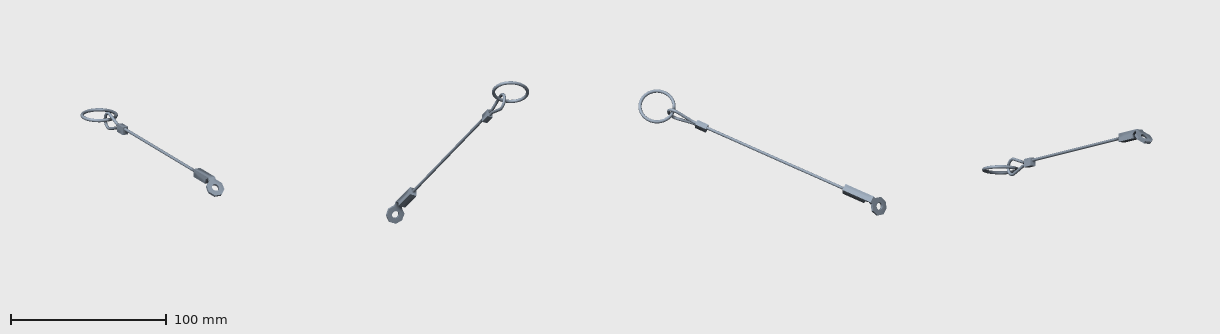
import cadquery as cq
import math

total_length = 175.4

ring_diameter = 24.0
ring_wire = 2.1

cable_diameter = 2.0
cable_height = 1.0
loop_diameter = 12.0
loop_center_x = 25.3
neck_start_x = 37.4
neck_bend_reach = 0.9

sleeve_start_x = 40.2
sleeve_length = 7.7
sleeve_width = 3.7
sleeve_height = 5.3

tag_start_x = 146.0
tag_width = 4.7
tag_top = 3.7
tag_height = 5.5
block_end_x = 161.5
step_height = 2.6
relief_end_x = 164.5
relief_end_drop = 0.9
bend_x = 166.0
bend_angle = 45.0
tab_thickness = 1.8
octagon_sides = 8
octagon_width = 11.2
eye_diameter = 4.7


def make_ring():
    """Closed round-wire ring lying flat."""
    wire_radius = ring_wire / 2
    center_x = ring_diameter / 2
    return cq.Workplane(
        cq.Solid.makeTorus(center_x - wire_radius, wire_radius, cq.Vector(center_x, 0, 0))
    )


def make_cable():
    """Cable that returns through a teardrop loop into its crimp sleeve."""
    bend_radius = (loop_diameter - cable_diameter) / 2
    neck_reach = neck_start_x - loop_center_x
    neck_distance = math.hypot(neck_reach, cable_height)
    tangent_angle = math.atan2(cable_height, neck_reach) + math.acos(bend_radius / neck_distance)
    tangent_x = loop_center_x + bend_radius * math.cos(tangent_angle)
    tangent_z = bend_radius * math.sin(tangent_angle)

    leg_slope = math.pi / 2 - tangent_angle
    leg_end_x = neck_start_x - neck_bend_reach * math.cos(leg_slope)
    leg_end_z = cable_height + neck_bend_reach * math.sin(leg_slope)
    neck_x = neck_start_x + neck_bend_reach

    sleeve_center_x = sleeve_start_x + sleeve_length / 2
    path = (
        cq.Workplane("XZ")
        .moveTo(tag_start_x, cable_height)
        .lineTo(neck_x, cable_height)
        .tangentArcPoint((leg_end_x, leg_end_z), relative=False)
        .lineTo(tangent_x, tangent_z)
        .threePointArc((loop_center_x - bend_radius, 0), (tangent_x, -tangent_z))
        .lineTo(leg_end_x, -leg_end_z)
        .tangentArcPoint((neck_x, -cable_height), relative=False)
        .lineTo(sleeve_center_x, -cable_height)
    )
    strand = (
        cq.Workplane("YZ", origin=(tag_start_x, 0, cable_height))
        .circle(cable_diameter / 2)
        .sweep(path)
    )
    sleeve = (
        cq.Workplane("XY")
        .box(sleeve_length, sleeve_width, sleeve_height)
        .translate((sleeve_center_x, 0, 0))
    )
    return strand.union(sleeve)


def make_tag():
    """Block with a relieved end, carrying a sloping octagonal eye tab."""
    tag_bottom = tag_top - tag_height
    bend = math.radians(bend_angle)
    block = (
        cq.Workplane("XZ")
        .polyline([
            (tag_start_x, tag_top),
            (bend_x, tag_top),
            (bend_x - relief_end_drop * math.tan(bend / 2), tag_top - relief_end_drop),
            (relief_end_x, tag_top - relief_end_drop),
            (block_end_x, tag_bottom + step_height),
            (block_end_x, tag_bottom),
            (tag_start_x, tag_bottom),
        ])
        .close()
        .extrude(tag_width / 2, both=True)
    )

    slope = (math.cos(bend), 0, -math.sin(bend))
    normal = (math.sin(bend), 0, math.cos(bend))
    tab_plane = cq.Plane(origin=(bend_x, 0, tag_top), xDir=slope, normal=normal)
    eye_x = (total_length - bend_x) / math.cos(bend) - octagon_width / 2
    half_sector = 180 / octagon_sides
    corner_diameter = octagon_width / math.cos(math.radians(half_sector))
    octagon = (
        cq.Workplane(tab_plane)
        .center(eye_x, 0)
        .transformed(rotate=(0, 0, half_sector))
        .polygon(octagon_sides, corner_diameter)
        .extrude(-tab_thickness)
    )
    neck = (
        cq.Workplane(tab_plane)
        .center(eye_x / 2, 0)
        .rect(eye_x, tag_width)
        .extrude(-tab_thickness)
    )
    eye = (
        cq.Workplane(tab_plane)
        .center(eye_x, 0)
        .circle(eye_diameter / 2)
        .extrude(-tab_thickness)
    )
    return block.union(neck).union(octagon).cut(eye)


ring = make_ring()
cable = make_cable()
tag = make_tag()

result = cq.Compound.makeCompound([ring.val(), cable.solids().val(), tag.solids().val()])